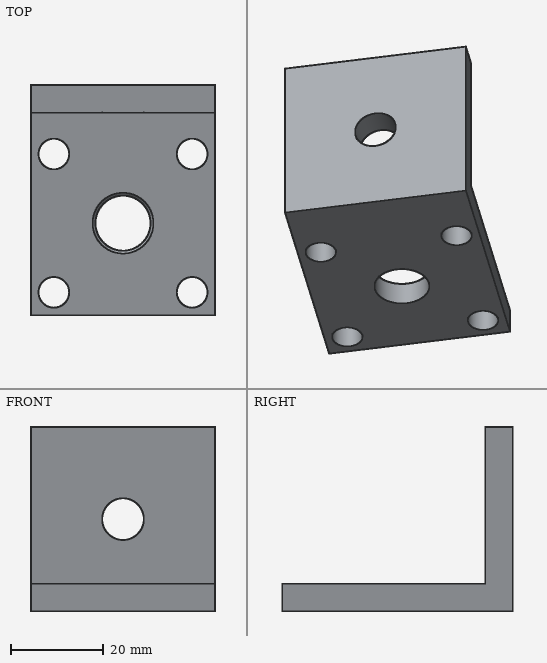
import cadquery as cq

width = 40.0
depth = 50.0
height = 40.0
thickness = 6.0

upright_hole_diameter = 9.0
upright_hole_height = height / 2

bore_diameter = 11.9
bore_mouth_diameter = 13.2
bore_chamfer = (bore_mouth_diameter - bore_diameter) / 2
bolt_hole_diameter = 6.6
bolt_spacing = 30.0
pattern_center_y = width / 2


def l_bracket():
    """L profile in the YZ plane, extruded symmetrically along X."""
    profile = [
        (0, 0),
        (depth, 0),
        (depth, height),
        (depth - thickness, height),
        (depth - thickness, thickness),
        (0, thickness),
    ]
    return cq.Workplane("YZ").polyline(profile).close().extrude(width / 2, both=True)


def upright_hole():
    """Cylinder passing through the upright plate along Y."""
    return (
        cq.Workplane("XZ", origin=(0, depth, upright_hole_height))
        .circle(upright_hole_diameter / 2)
        .extrude(thickness)
    )


def bolt_holes():
    """Four cylinders on a square pattern through the base plate."""
    return (
        cq.Workplane("XY", origin=(0, pattern_center_y, 0))
        .rect(bolt_spacing, bolt_spacing, forConstruction=True)
        .vertices()
        .circle(bolt_hole_diameter / 2)
        .extrude(thickness)
    )


def chamfered_bore():
    """Central bore through the base plate, with a 45 degree chamfer at its top."""
    bore_radius = bore_diameter / 2
    mouth_radius = bore_mouth_diameter / 2
    half_section = [
        (0, 0),
        (bore_radius, 0),
        (bore_radius, thickness - bore_chamfer),
        (mouth_radius, thickness),
        (0, thickness),
    ]
    return (
        cq.Workplane("XZ", origin=(0, pattern_center_y, 0))
        .polyline(half_section)
        .close()
        .revolve(360, (0, 0), (0, 1))
    )


result = l_bracket().cut(upright_hole()).cut(bolt_holes()).cut(chamfered_bore())